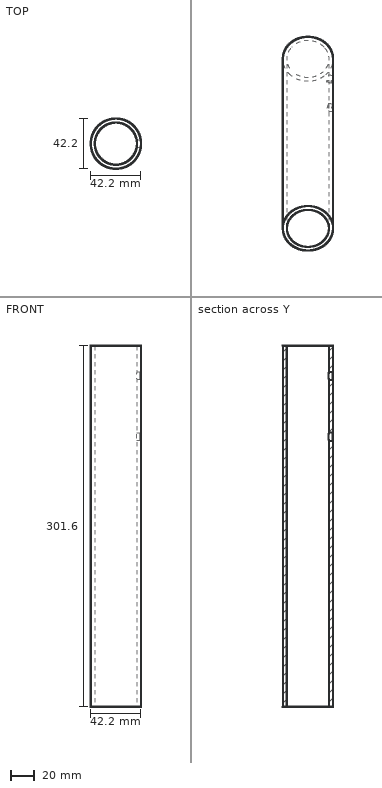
import cadquery as cq

outer_diameter = 42.16
inner_diameter = 35.05
length = 301.62

hole_diameter = 6.35
hole_depths_from_top = (25.4, 76.2)


def tube():
    """Plain tube, open at both ends."""
    return (
        cq.Workplane("XY")
        .workplane(offset=-length / 2)
        .circle(outer_diameter / 2)
        .circle(inner_diameter / 2)
        .extrude(length)
    )


def wall_hole(depth_from_top):
    """Cutter running from the tube axis out through the +X wall."""
    return (
        cq.Workplane("YZ")
        .center(0, length / 2 - depth_from_top)
        .circle(hole_diameter / 2)
        .extrude(outer_diameter)
    )


result = tube()
for depth_from_top in hole_depths_from_top:
    result = result.cut(wall_hole(depth_from_top))